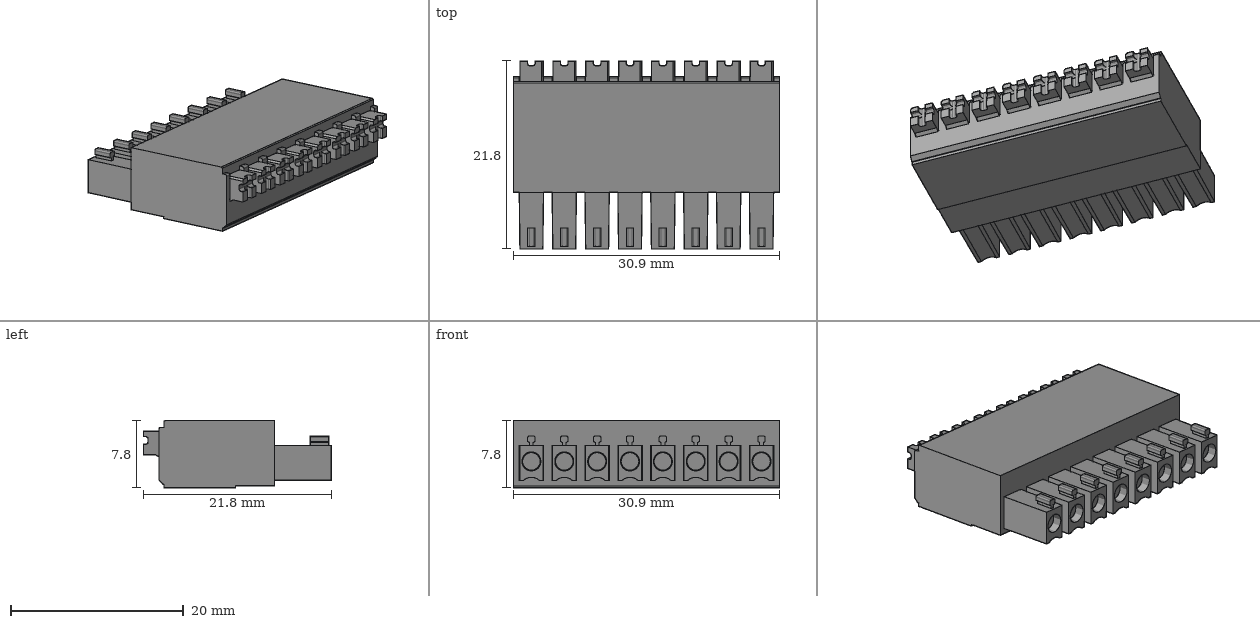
import cadquery as cq


housing_length = 30.87
housing_height = 7.8
housing_front_y = 6.58
housing_rear_y = 19.42
front_step_y = 11.1
front_step_height = 0.22
rear_edge_chamfer_depth = 0.2
rear_edge_chamfer_height = 0.1

pole_count = 8
end_margin = 2.1
pole_pitch = (housing_length - 2 * end_margin) / (pole_count - 1)

flange_rear_y = 20.0
flange_bottom_z = 0.4
flange_top_z = 7.0
flange_top_fillet = 0.22
flange_bottom_chamfer = 0.5

flange_slot_width = 2.85

barrel_base_width = 2.85
barrel_tip_width = 2.7
barrel_bottom_z = 0.85
barrel_top_z = 4.9
bore_center_z = 3.05
bore_mouth_diameter = 2.2
bore_floor_diameter = 2.05
bore_depth = 1.05
groove_chord = 1.85
groove_rise = 0.35

rail_front_y = 0.3
rail_length = 2.15
rail_head_width = 0.85
rail_neck_width = 0.43
rail_head_bottom_z = 5.37
rail_top_z = 6.0
rail_shoulder_drop = 0.12
rail_edge_fillet = 0.2

lug_left_reach = 1.33
lug_right_reach = 1.4
lug_rear_y = 21.8
lug_bottom_z = 3.83
lug_top_z = 6.58
lug_edge_chamfer = 0.22
lug_root_length = 0.43
lug_root_drop = 0.25
notch_width = 0.85
notch_depth = 0.52
notch_corner_radius = 0.28
notch_center_z = 5.5

overlap = 0.3


def make_housing():
    """Housing block with a shallow step under its front half, and the flange behind it."""
    block_profile = [
        (housing_front_y, front_step_height),
        (front_step_y, front_step_height),
        (front_step_y, 0),
        (housing_rear_y, 0),
        (housing_rear_y, housing_height - rear_edge_chamfer_height),
        (housing_rear_y - rear_edge_chamfer_depth, housing_height),
        (housing_front_y, housing_height),
    ]
    block = (
        cq.Workplane("YZ")
        .polyline(block_profile)
        .close()
        .extrude(housing_length / 2, both=True)
    )
    flange_start_y = housing_rear_y - overlap
    flange = (
        cq.Workplane("XY")
        .box(
            housing_length,
            flange_rear_y - flange_start_y,
            flange_top_z - flange_bottom_z,
            centered=(True, False, False),
        )
        .translate((0, flange_start_y, flange_bottom_z))
    )
    flange = flange.edges(">Y and >Z").fillet(flange_top_fillet)
    flange = flange.edges(">Y and <Z").chamfer(flange_bottom_chamfer)
    return block.union(flange)


def make_flange_slot():
    """Cutter for the slot in the flange that a lug sits in, open at the top and the rear."""
    slot_length = flange_rear_y - housing_rear_y
    return (
        cq.Workplane("XY")
        .box(
            flange_slot_width,
            slot_length,
            flange_top_z - lug_bottom_z,
            centered=(True, False, False),
        )
        .translate((0, housing_rear_y, lug_bottom_z))
    )


def make_rail():
    """T-shaped rail with a rounded head, standing on a barrel."""
    half_head = rail_head_width / 2
    half_neck = rail_neck_width / 2
    shoulder_z = rail_head_bottom_z - rail_shoulder_drop
    root_z = barrel_top_z - overlap
    profile = [
        (-half_neck, root_z),
        (half_neck, root_z),
        (half_neck, shoulder_z),
        (half_head, rail_head_bottom_z),
        (half_head, rail_top_z),
        (-half_head, rail_top_z),
        (-half_head, rail_head_bottom_z),
        (-half_neck, shoulder_z),
    ]
    rail = (
        cq.Workplane("XZ", origin=(0, rail_front_y, 0))
        .polyline(profile)
        .close()
        .extrude(-rail_length)
    )
    return rail.edges("|Y and >Z").fillet(rail_edge_fillet)


def make_barrel():
    """Front barrel: sides tapering to the tip, a tapered blind bore and a groove underneath."""
    half_base = barrel_base_width / 2
    half_tip = barrel_tip_width / 2
    barrel_plan = [
        (-half_tip, 0),
        (half_tip, 0),
        (half_base, housing_front_y),
        (half_base, housing_front_y + overlap),
        (-half_base, housing_front_y + overlap),
        (-half_base, housing_front_y),
    ]
    barrel = (
        cq.Workplane("XY", origin=(0, 0, barrel_bottom_z))
        .polyline(barrel_plan)
        .close()
        .extrude(barrel_top_z - barrel_bottom_z)
    )
    bore = (
        cq.Workplane("XZ", origin=(0, 0, bore_center_z))
        .circle(bore_mouth_diameter / 2)
        .workplane(offset=-bore_depth)
        .circle(bore_floor_diameter / 2)
        .loft()
    )
    groove = (
        cq.Workplane("XZ", origin=(0, 0, barrel_bottom_z))
        .moveTo(-groove_chord / 2, 0)
        .threePointArc((0, groove_rise), (groove_chord / 2, 0))
        .close()
        .extrude(-housing_front_y)
    )
    return barrel.cut(bore).cut(groove).union(make_rail())


def make_lug():
    """Rear lug with an upright notch and a crosswise notch in its end."""
    lug_start_y = housing_rear_y - overlap
    section = [
        (-lug_left_reach, lug_bottom_z),
        (lug_right_reach, lug_bottom_z),
        (lug_right_reach, lug_top_z - lug_edge_chamfer),
        (lug_right_reach - lug_edge_chamfer, lug_top_z),
        (-lug_left_reach, lug_top_z),
    ]
    lug = (
        cq.Workplane("XZ", origin=(0, lug_start_y, 0))
        .polyline(section)
        .close()
        .extrude(lug_start_y - lug_rear_y)
    )
    root_profile = [
        (lug_start_y, lug_bottom_z),
        (flange_rear_y + lug_root_length, lug_bottom_z),
        (flange_rear_y, lug_bottom_z - lug_root_drop),
        (lug_start_y, lug_bottom_z - lug_root_drop),
    ]
    root = (
        cq.Workplane("YZ", origin=(-lug_left_reach, 0, 0))
        .polyline(root_profile)
        .close()
        .extrude(lug_left_reach + lug_right_reach)
    )
    upright_notch = (
        cq.Workplane("XY", origin=(0, lug_rear_y, 0))
        .rect(notch_width, 2 * notch_depth)
        .extrude(housing_height)
        .edges("|Z and <Y")
        .fillet(notch_corner_radius)
    )
    crosswise_notch = (
        cq.Workplane("YZ", origin=(0, lug_rear_y, notch_center_z))
        .rect(2 * notch_depth, notch_width)
        .extrude(lug_right_reach, both=True)
        .edges("|X and <Y")
        .fillet(notch_corner_radius)
    )
    return lug.union(root).cut(upright_notch).cut(crosswise_notch)


first_pole_x = end_margin - housing_length / 2
pole = make_barrel().union(make_lug())
flange_slot = make_flange_slot()
result = make_housing()
for index in range(pole_count):
    pole_x = first_pole_x + index * pole_pitch
    result = result.cut(flange_slot.translate((pole_x, 0, 0)))
    result = result.union(pole.translate((pole_x, 0, 0)))